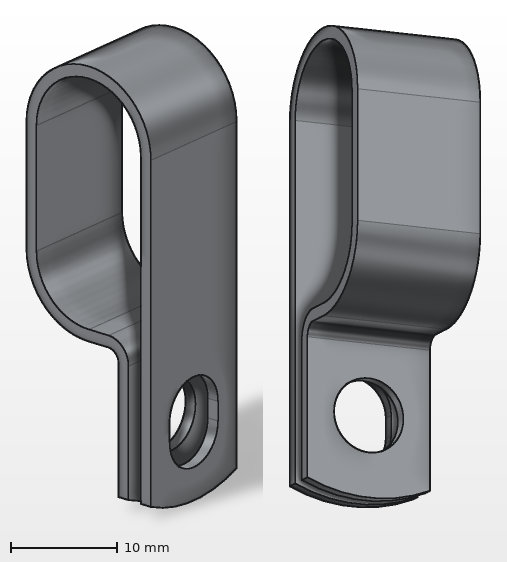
import cadquery as cq

width = 12.7
height = 44.0
depth = 15.15
thickness = 1.25

outer_radius = depth / 2
inner_radius = outer_radius - thickness
straight_length = 12.7
upper_center_z = height - outer_radius
lower_center_z = upper_center_z - straight_length
loop_bottom_z = lower_center_z - outer_radius
loop_floor_z = loop_bottom_z + thickness

tab_gap = 1.5
bend_inner_radius = 1.25
bend_outer_radius = bend_inner_radius + thickness
short_tab_right = outer_radius - thickness - tab_gap
short_tab_left = short_tab_right - thickness
bend_x = short_tab_right - bend_outer_radius
bend_z = loop_floor_z - bend_outer_radius
hole_diameter = 7.18
hole_z = 7.95
slot_travel = 2.0
end_arc_rise = 1.3


def make_strip():
    """Bent strip, its section drawn in XZ and extruded across the width."""
    diagonal = 0.5 ** 0.5
    outer_mid = bend_outer_radius * diagonal
    inner_mid = bend_inner_radius * diagonal
    lower_outer_mid = outer_radius * diagonal
    lower_inner_mid = inner_radius * diagonal
    return (
        cq.Workplane("XZ")
        .moveTo(outer_radius, 0)
        .lineTo(outer_radius, upper_center_z)
        .threePointArc((0, height), (-outer_radius, upper_center_z))
        .lineTo(-outer_radius, lower_center_z)
        .threePointArc((-lower_outer_mid, lower_center_z - lower_outer_mid), (0, loop_bottom_z))
        .lineTo(bend_x, loop_bottom_z)
        .threePointArc((bend_x + inner_mid, bend_z + inner_mid), (short_tab_left, bend_z))
        .lineTo(short_tab_left, 0)
        .lineTo(short_tab_right, 0)
        .lineTo(short_tab_right, bend_z)
        .threePointArc((bend_x + outer_mid, bend_z + outer_mid), (bend_x, loop_floor_z))
        .lineTo(0, loop_floor_z)
        .threePointArc(
            (-lower_inner_mid, lower_center_z - lower_inner_mid),
            (-inner_radius, lower_center_z),
        )
        .lineTo(-inner_radius, upper_center_z)
        .threePointArc((0, upper_center_z + inner_radius), (inner_radius, upper_center_z))
        .lineTo(inner_radius, 0)
        .close()
        .extrude(width / 2, both=True)
    )


def make_end_envelope():
    """Side outline of the strip with a rounded lower end, spanning the full depth."""
    return (
        cq.Workplane("YZ")
        .moveTo(-width / 2, height)
        .lineTo(-width / 2, end_arc_rise)
        .threePointArc((0, 0), (width / 2, end_arc_rise))
        .lineTo(width / 2, height)
        .close()
        .extrude(outer_radius, both=True)
    )


def make_round_hole():
    """Round hole along X, reaching through the short tab only."""
    return (
        cq.Workplane("YZ", origin=(0, 0, hole_z))
        .circle(hole_diameter / 2)
        .extrude(short_tab_right + tab_gap / 2)
    )


def make_slot():
    """Upright slot along X through the long tab, level with the round hole."""
    return (
        cq.Workplane("YZ", origin=(short_tab_right + tab_gap / 2, 0, hole_z))
        .slot2D(hole_diameter + slot_travel, hole_diameter, 90)
        .extrude(tab_gap / 2 + thickness)
    )


strip = make_strip().intersect(make_end_envelope())
result = strip.cut(make_round_hole()).cut(make_slot())